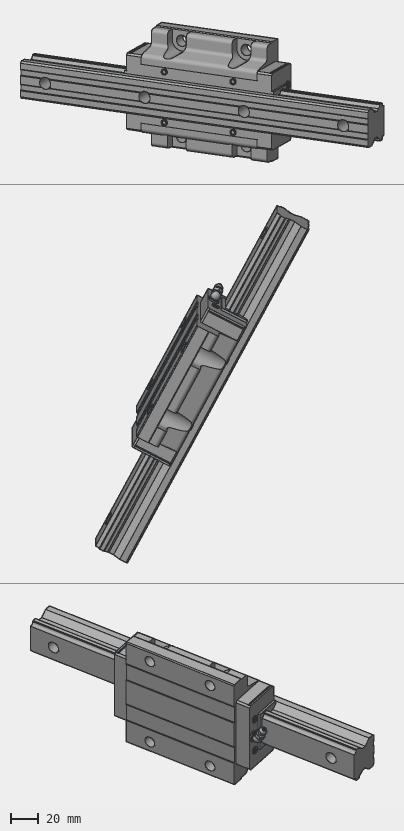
import cadquery as cq
import math


RAIL_LENGTH = 280.0
RAIL_HEIGHT = 26.0
RAIL_HALF_WIDTH = 14.0
BASE_CHAMFER = 1.5
BASE_SIDE_TOP = 6.5
WAIST_HALF_WIDTH = 9.8
WAIST_BOTTOM = 11.5
WAIST_TOP = 15.0
WAIST_BEVEL = 1.5
HEAD_BOTTOM = 19.0
HEAD_TOP = 23.2
HEAD_CHAMFER = 0.5
HEAD_TOP_HALF_WIDTH = 11.0
UPPER_GROOVE_TOP = 25.2
RAIL_HOLE_DIAMETER = 9.0
RAIL_HOLE_PITCH = 80.0
RAIL_HOLE_COUNT = 4
RELIEF_INNER = 3.0
RELIEF_OUTER = 8.0
RELIEF_DEPTH = 0.5

TOP_LEVEL = 42.0
BOTTOM_LEVEL = 7.8
BLOCK_LENGTH = 93.2
FLANGE_WIDTH = 90.0
FLANGE_HALF_WIDTH = FLANGE_WIDTH / 2
FLANGE_LIP = 0.8
FLANGE_LIP_LEVEL = 32.5
FLANGE_TOP_CHAMFER = 0.8
SEAT_LEVEL = 32.0
FLANGE_BOTTOM = 24.0
FLANGE_ROUND = 3.0
ROOT_HALF_WIDTH = 32.2
ROOT_ROUND = 2.8
SKIRT_HALF_WIDTH = 29.0
SKIRT_ROUND = 3.5
TOP_RELIEF_INNER = 11.0
TOP_RELIEF_OUTER = 25.2
TOP_RELIEF_DEPTH = 0.8
BOLT_X = 26.0
BOLT_Z = 36.0
BOLT_HOLE_DIAMETER = 8.5
SEAT_WIDTH = 15.0

CAP_END_X = 58.5
CAP_TOP = 39.2
CAP_HALF_WIDTH = 28.8
CAP_EDGE_CHAMFER = 1.5
CAP_GROOVE_X = 56.5
CAP_GROOVE_WIDTH = 0.8
CAP_GROOVE_DEPTH = 0.3
SEAL_END_X = 60.2
SEAL_HALF_WIDTH = 15.7
SEAL_TOP = 28.5
STRIP_HALF_WIDTH = 22.0
STRIP_THICKNESS = 2.0
STRIP_SCREW_X = 27.7
STRIP_SCREW_Z = 19.0
STRIP_SCREW_RADIUS = 2.2
STRIP_SCREW_HEIGHT = 1.0
STRIP_SOCKET_RADIUS = 1.55
STRIP_SOCKET_DEPTH = 0.5
CAP_SCREW_Y = 33.0
CAP_SCREW_Z = 14.0
CAP_SCREW_RADIUS = 2.8
CAP_SCREW_HEIGHT = 0.8
CROSS_LENGTH = 3.5
CROSS_WIDTH = 0.8
CROSS_DEPTH = 0.5

NIPPLE_Y = 35.0
NIPPLE_TILT = 30.0
NIPPLE_FLANGE_RADIUS = 4.2
NIPPLE_FLANGE_THICKNESS = 1.0
NIPPLE_SHANK_RADIUS = 2.8
NIPPLE_ELBOW_X = -62.5
NIPPLE_ELBOW_RADIUS = 3.5
NIPPLE_HEX_DIAMETER = 7.8
NIPPLE_HEX_START = 2.8
NIPPLE_HEX_END = 6.0
NIPPLE_NECK_RADIUS = 2.0
NIPPLE_HEAD_START = 7.3
NIPPLE_HEAD_SHOULDER = 9.5
NIPPLE_HEAD_END = 11.8
NIPPLE_HEAD_RADIUS = 3.0
NIPPLE_TIP_RADIUS = 1.7
NIPPLE_PORT_RADIUS = 0.8
NIPPLE_PORT_DEPTH = 0.8


def box(x_range, y_range, z_range):
    """Axis-aligned box between the given limits."""
    lows, highs = zip(x_range, y_range, z_range)
    sizes = [high - low for low, high in zip(lows, highs)]
    return cq.Workplane("XY").box(*sizes, centered=False).translate(lows)


def cylinder(radius, length, start, direction):
    """Cylinder that starts at a point and runs along a direction."""
    return cq.Workplane(cq.Solid.makeCylinder(radius, length, cq.Vector(*start), cq.Vector(*direction)))


def extrude_half(profile, length):
    """Mirror a closed (Z, Y) half profile about Z = 0 and extrude it along X, centred on X = 0."""
    half = profile.close().extrude(length / 2, both=True)
    return half.union(half.mirror("XY"))


def half_profile():
    """Sketch plane whose local x is Z and local y is Y."""
    return cq.Workplane(cq.Plane(origin=(0, 0, 0), xDir=(0, 0, 1), normal=(-1, 0, 0)))


def quarter_arc_middle(centre, end_a, end_b):
    """Middle point of a quarter of an ellipse around a centre, from one axis end to the other."""
    share = math.sqrt(0.5)
    return tuple(c + share * (a - c) + share * (b - c) for c, a, b in zip(centre, end_a, end_b))


def rail_bar(length):
    """Rail section with a waist and two ball grooves on each side."""
    head_corner_z = RAIL_HALF_WIDTH - HEAD_CHAMFER
    lower_start = (WAIST_HALF_WIDTH + WAIST_BEVEL, WAIST_TOP + WAIST_BEVEL)
    lower_end = (head_corner_z, HEAD_BOTTOM)
    lower_middle = quarter_arc_middle((lower_end[0], lower_start[1]), lower_start, lower_end)
    upper_start = (head_corner_z, HEAD_TOP)
    upper_end = (HEAD_TOP_HALF_WIDTH, UPPER_GROOVE_TOP)
    upper_middle = quarter_arc_middle((upper_start[0], upper_end[1]), upper_start, upper_end)
    profile = (
        half_profile()
        .lineTo(RAIL_HALF_WIDTH - BASE_CHAMFER, 0)
        .lineTo(RAIL_HALF_WIDTH, BASE_CHAMFER)
        .lineTo(RAIL_HALF_WIDTH, BASE_SIDE_TOP)
        .lineTo(WAIST_HALF_WIDTH, WAIST_BOTTOM)
        .lineTo(WAIST_HALF_WIDTH, WAIST_TOP)
        .lineTo(*lower_start)
        .threePointArc(lower_middle, lower_end)
        .lineTo(RAIL_HALF_WIDTH, HEAD_BOTTOM + HEAD_CHAMFER)
        .lineTo(RAIL_HALF_WIDTH, HEAD_TOP - HEAD_CHAMFER)
        .lineTo(*upper_start)
        .threePointArc(upper_middle, upper_end)
        .lineTo(HEAD_TOP_HALF_WIDTH, RAIL_HEIGHT)
        .lineTo(0, RAIL_HEIGHT)
    )
    return extrude_half(profile, length)


def relief_channels():
    """Two shallow channels with sloping walls along the rail base."""
    profile = (
        half_profile()
        .moveTo(RELIEF_INNER, 0)
        .lineTo(RELIEF_INNER + RELIEF_DEPTH, RELIEF_DEPTH)
        .lineTo(RELIEF_OUTER - RELIEF_DEPTH, RELIEF_DEPTH)
        .lineTo(RELIEF_OUTER, 0)
    )
    return extrude_half(profile, RAIL_LENGTH)


def make_rail():
    """Rail with mounting holes and relief channels."""
    rail = rail_bar(RAIL_LENGTH).cut(relief_channels())
    for index in range(RAIL_HOLE_COUNT):
        hole_x = (index - (RAIL_HOLE_COUNT - 1) / 2) * RAIL_HOLE_PITCH
        rail = rail.cut(cylinder(RAIL_HOLE_DIAMETER / 2, RAIL_HEIGHT, (hole_x, 0, 0), (0, 1, 0)))
    return rail


def strip_box():
    """Outer shape of the bottom seal strips, before the rail opening is cut."""
    end = BLOCK_LENGTH / 2
    level = (BOTTOM_LEVEL, BOTTOM_LEVEL + STRIP_THICKNESS)
    return box((-end, end), level, (-STRIP_HALF_WIDTH, STRIP_HALF_WIDTH))


def block_blank():
    """Block section with side flanges, tapered skirts and rounded edges."""
    lower_half_width = FLANGE_HALF_WIDTH - FLANGE_LIP
    profile = (
        half_profile()
        .moveTo(0, BOTTOM_LEVEL)
        .lineTo(SKIRT_HALF_WIDTH, BOTTOM_LEVEL)
        .lineTo(ROOT_HALF_WIDTH, FLANGE_BOTTOM)
        .lineTo(lower_half_width, FLANGE_BOTTOM)
        .lineTo(lower_half_width, SEAT_LEVEL)
        .lineTo(FLANGE_HALF_WIDTH, FLANGE_LIP_LEVEL)
        .lineTo(FLANGE_HALF_WIDTH, TOP_LEVEL - FLANGE_TOP_CHAMFER)
        .lineTo(FLANGE_HALF_WIDTH - FLANGE_TOP_CHAMFER, TOP_LEVEL)
        .lineTo(0, TOP_LEVEL)
    )
    blank = extrude_half(profile, BLOCK_LENGTH)
    corners = (
        (SKIRT_HALF_WIDTH, BOTTOM_LEVEL, SKIRT_ROUND),
        (ROOT_HALF_WIDTH, FLANGE_BOTTOM, ROOT_ROUND),
        (lower_half_width, FLANGE_BOTTOM, FLANGE_ROUND),
    )
    for corner_z, corner_y, radius in corners:
        for side in (-1, 1):
            edge = cq.selectors.NearestToPointSelector((0, corner_y, side * corner_z))
            blank = blank.edges("|X").edges(edge).fillet(radius)
    return blank


def bolt_seat(x, side):
    """Bolt hole through the flange and the open, round-ended pocket below it."""
    z = side * BOLT_Z
    hole = cylinder(BOLT_HOLE_DIAMETER / 2, TOP_LEVEL, (x, 0, z), (0, 1, 0))
    pocket_end = cylinder(SEAT_WIDTH / 2, SEAT_LEVEL, (x, 0, z), (0, 1, 0))
    z_range = sorted((z, side * FLANGE_HALF_WIDTH))
    mouth = box((x - SEAT_WIDTH / 2, x + SEAT_WIDTH / 2), (0, SEAT_LEVEL), z_range)
    return hole.union(pocket_end).union(mouth)


def make_block():
    """Flanged block that straddles the rail."""
    block = block_blank()
    end = BLOCK_LENGTH / 2
    for side in (-1, 1):
        relief_z = sorted((side * TOP_RELIEF_INNER, side * TOP_RELIEF_OUTER))
        block = block.cut(box((-end, end), (TOP_LEVEL - TOP_RELIEF_DEPTH, TOP_LEVEL), relief_z))
        for x in (-BOLT_X, BOLT_X):
            block = block.cut(bolt_seat(x, side))
    return block.cut(strip_box()).cut(rail_bar(RAIL_LENGTH))


def cap(end):
    """End cap with chamfered edges, side grooves and a raised seal around the rail; end is -1 or 1."""
    x_range = sorted((end * BLOCK_LENGTH / 2, end * CAP_END_X))
    body = box(x_range, (BOTTOM_LEVEL, CAP_TOP), (-CAP_HALF_WIDTH, CAP_HALF_WIDTH))
    body = body.edges("|X").chamfer(CAP_EDGE_CHAMFER)
    cap_height = CAP_TOP - BOTTOM_LEVEL
    for side in (-1, 1):
        groove = cq.Workplane("XY").box(CAP_GROOVE_WIDTH, cap_height, 2 * CAP_GROOVE_DEPTH)
        middle = (end * CAP_GROOVE_X, BOTTOM_LEVEL + cap_height / 2, side * CAP_HALF_WIDTH)
        body = body.cut(groove.translate(middle))
    seal_x = sorted((end * CAP_END_X, end * SEAL_END_X))
    seal = box(seal_x, (BOTTOM_LEVEL, SEAL_TOP), (-SEAL_HALF_WIDTH, SEAL_HALF_WIDTH))
    return body.union(seal)


def cap_screw(end, side):
    """Round screw head with a cross recess on the face of an end cap."""
    centre_z = side * CAP_SCREW_Z
    centre = (end * CAP_END_X, CAP_SCREW_Y, centre_z)
    head = cylinder(CAP_SCREW_RADIUS, CAP_SCREW_HEIGHT, centre, (end, 0, 0))
    outer_x = end * (CAP_END_X + CAP_SCREW_HEIGHT)
    middle = (outer_x, CAP_SCREW_Y, centre_z)
    for y_size, z_size in ((CROSS_LENGTH, CROSS_WIDTH), (CROSS_WIDTH, CROSS_LENGTH)):
        head = head.cut(cq.Workplane("XY").box(2 * CROSS_DEPTH, y_size, z_size).translate(middle))
    return head


def strip_screw(x, z):
    """Screw head with a round socket below a bottom seal strip."""
    head = cylinder(STRIP_SCREW_RADIUS, STRIP_SCREW_HEIGHT, (x, BOTTOM_LEVEL, z), (0, -1, 0))
    underside = BOTTOM_LEVEL - STRIP_SCREW_HEIGHT
    return head.cut(cylinder(STRIP_SOCKET_RADIUS, STRIP_SOCKET_DEPTH, (x, underside, z), (0, 1, 0)))


def grease_nipple():
    """Angled grease nipple: flange and shank along X, then a leaning stem with a hexagon and a head."""
    root = (-CAP_END_X, NIPPLE_Y, 0)
    flange = cylinder(NIPPLE_FLANGE_RADIUS, NIPPLE_FLANGE_THICKNESS, root, (-1, 0, 0))
    shank = cylinder(NIPPLE_SHANK_RADIUS, -NIPPLE_ELBOW_X - CAP_END_X, root, (-1, 0, 0))
    stem = (
        cq.Workplane("XZ")
        .lineTo(NIPPLE_NECK_RADIUS, 0)
        .lineTo(NIPPLE_NECK_RADIUS, NIPPLE_HEAD_START)
        .lineTo(NIPPLE_HEAD_RADIUS, NIPPLE_HEAD_START)
        .lineTo(NIPPLE_HEAD_RADIUS, NIPPLE_HEAD_SHOULDER)
        .lineTo(NIPPLE_TIP_RADIUS, NIPPLE_HEAD_END)
        .lineTo(NIPPLE_PORT_RADIUS, NIPPLE_HEAD_END)
        .lineTo(NIPPLE_PORT_RADIUS, NIPPLE_HEAD_END - NIPPLE_PORT_DEPTH)
        .lineTo(0, NIPPLE_HEAD_END - NIPPLE_PORT_DEPTH)
        .close()
        .revolve(360, (0, 0, 0), (0, 1, 0))
    )
    hexagon = (
        cq.Workplane("XY")
        .workplane(offset=NIPPLE_HEX_START)
        .polygon(6, NIPPLE_HEX_DIAMETER)
        .extrude(NIPPLE_HEX_END - NIPPLE_HEX_START)
    )
    elbow = cq.Workplane("XY").sphere(NIPPLE_ELBOW_RADIUS)
    leaning = elbow.union(stem).union(hexagon).rotate((0, 0, 0), (0, 1, 0), -NIPPLE_TILT)
    return flange.union(shank).union(leaning.translate((NIPPLE_ELBOW_X, NIPPLE_Y, 0)))


def make_seal_frame():
    """End caps joined by the bottom seal strips, with their screws and the grease nipple."""
    frame = strip_box()
    for end in (-1, 1):
        frame = frame.union(cap(end))
    frame = frame.cut(rail_bar(RAIL_LENGTH))
    for end in (-1, 1):
        for side in (-1, 1):
            frame = frame.union(cap_screw(end, side))
            frame = frame.union(strip_screw(end * STRIP_SCREW_X, side * STRIP_SCREW_Z))
    return frame.union(grease_nipple())


rail = make_rail()
block = make_block()
seal_frame = make_seal_frame()

result = cq.Compound.makeCompound([body.solids().val() for body in (rail, block, seal_frame)])